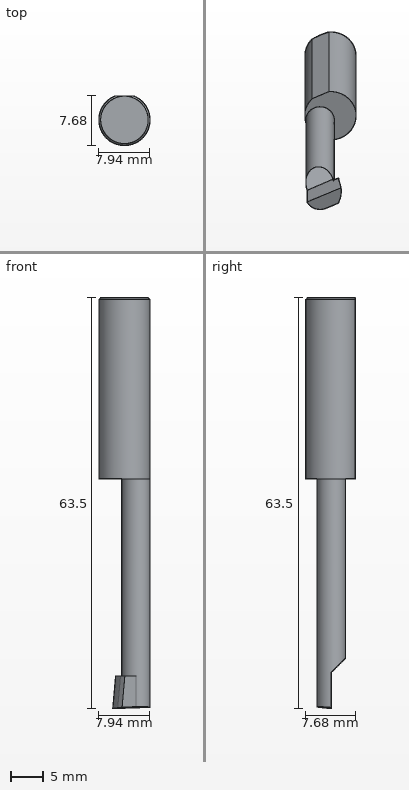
import cadquery as cq
import math

overall_length = 63.5

shank_diameter = 7.94
shank_radius = shank_diameter / 2
shank_length = 28.0
shank_chamfer = 0.3
flat_offset = 3.71

neck_diameter = 4.42
neck_radius = neck_diameter / 2
neck_center_x = shank_radius - neck_radius
neck_length = overall_length - shank_length

runout_bottom_z = 5.6
runout_angle = 45.0

head_height = 5.08
tip_x = -1.82
heel_x = -1.05
heel_y = -1.5
flank_radius = 5.0
shoulder_x = -0.38
side_taper = 5.0

end_relief_x = 2.0
end_relief_y = 5.0

cutter_size = 4 * shank_diameter


def make_shank():
    base = cq.Workplane("XY").workplane(offset=neck_length)
    shank = base.circle(shank_radius).extrude(shank_length)
    shank = shank.faces(">Z").edges().chamfer(shank_chamfer)
    flat_cutter = (
        base.center(0, flat_offset + cutter_size / 2)
        .rect(cutter_size, cutter_size)
        .extrude(shank_length)
    )
    return shank.cut(flat_cutter)


def make_neck():
    neck = cq.Workplane("XY").center(neck_center_x, 0).circle(neck_radius).extrude(neck_length)
    runout_rise = neck_diameter * math.tan(math.radians(runout_angle))
    half_cutter = (
        cq.Workplane("YZ")
        .lineTo(neck_diameter, 0)
        .lineTo(neck_diameter, runout_bottom_z + runout_rise)
        .lineTo(0, runout_bottom_z)
        .close()
        .extrude(shank_diameter, both=True)
    )
    return neck.cut(half_cutter)


def draw_head_outline(plane, height):
    """Outline of the head at a height; its -X side moves inward with height."""
    shift = height * math.tan(math.radians(side_taper))
    return (
        plane.moveTo(neck_center_x, 0)
        .lineTo(tip_x + shift, 0)
        .radiusArc((heel_x + shift, heel_y), -flank_radius)
        .lineTo(shoulder_x + shift, -neck_radius)
        .lineTo(neck_center_x, -neck_radius)
        .close()
    )


def make_head():
    end_outline = draw_head_outline(cq.Workplane("XY"), 0)
    both_outlines = draw_head_outline(end_outline.workplane(offset=head_height), head_height)
    return both_outlines.loft(ruled=True)


def make_end_relief():
    """Block whose top face passes through the tip and tilts up across the end."""
    block = cq.Workplane("XY").rect(cutter_size, cutter_size).extrude(-cutter_size)
    block = block.rotate((0, 0, 0), (1, 0, 0), -end_relief_y)
    block = block.rotate((0, 0, 0), (0, 1, 0), -end_relief_x)
    return block.translate((tip_x, 0, 0))


result = make_shank().union(make_neck()).union(make_head()).cut(make_end_relief())